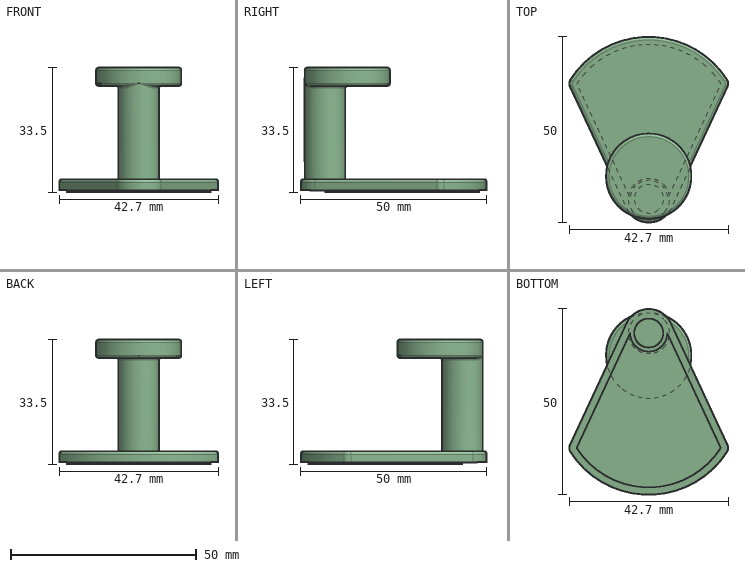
import cadquery as cq
import math


plate_length = 50.0
plate_thickness = 3.0
nose_radius = 6.5
rim_radius = 25.0
side_angle = 25.0
corner_radius = 2.0
edge_fillet = 0.8

pad_thickness = 0.5
pad_inset = 2.0
pad_clearance_radius = 5.0

cover_radius = 3.9
cover_thickness = 0.1

post_radius = 5.5
head_radius = 11.5
head_thickness = 5.0
knob_height = 30.0
neck_fillet = 0.5
margin = 0.05

rim_center_y = plate_length - nose_radius - rim_radius
head_offset = head_radius - post_radius
head_top = plate_thickness + knob_height
head_bottom = head_top - head_thickness


def fan_outline(inset, z):
    """Closed fan outline, moved inward by inset, with sharp outer corners."""
    nose = nose_radius - inset
    rim = rim_radius - inset
    angle = math.radians(side_angle)
    tangent_x = nose * math.cos(angle)
    tangent_y = -nose * math.sin(angle)
    side_to_foot = rim_center_y * math.cos(angle)
    foot_distance = nose + rim_center_y * math.sin(angle)
    side_length = side_to_foot + math.sqrt(rim**2 - foot_distance**2)
    corner_x = tangent_x + side_length * math.sin(angle)
    corner_y = tangent_y + side_length * math.cos(angle)
    return (
        cq.Workplane("XY", origin=(0, 0, z))
        .moveTo(tangent_x, tangent_y)
        .lineTo(corner_x, corner_y)
        .threePointArc((0, rim_center_y + rim), (-corner_x, corner_y))
        .lineTo(-tangent_x, tangent_y)
        .threePointArc((0, -nose), (tangent_x, tangent_y))
        .close()
    )


def make_plate():
    plate = fan_outline(0, 0).extrude(plate_thickness)
    outer_corners = plate.edges("|Z").edges(cq.selectors.BoxSelector(
        (-plate_length, rim_center_y, -plate_thickness),
        (plate_length, plate_length, 2 * plate_thickness),
    ))
    plate = outer_corners.fillet(corner_radius)
    return plate.faces(">Z").edges().fillet(edge_fillet)


def make_pad():
    pad = fan_outline(pad_inset, -pad_thickness).extrude(pad_thickness)
    clearance = (
        cq.Workplane("XY", origin=(0, 0, -pad_thickness))
        .circle(pad_clearance_radius)
        .extrude(pad_thickness)
    )
    return pad.cut(clearance)


def make_screw_cover():
    return cq.Workplane("XY").circle(cover_radius).extrude(-cover_thickness)


def fillet_half_neck(knob, side):
    """The half of the knob on one side of the YZ plane (side is -1 or 1), neck filleted."""
    half_space = (
        cq.Workplane("XY")
        .box(plate_length, 2 * plate_length, 2 * plate_length)
        .translate((side * plate_length / 2, 0, 0))
    )
    half_knob = knob.intersect(half_space)
    neck_zone = cq.selectors.BoxSelector(
        (-post_radius - margin, -post_radius - margin, head_bottom - margin),
        (post_radius + margin, post_radius + margin, head_bottom + edge_fillet + margin),
        boundingbox=True,
    )
    seam = half_knob.edges(neck_zone).filter(lambda edge: edge.BoundingBox().xlen > margin)
    return half_knob.newObject(seam.vals()).fillet(neck_fillet)


def make_knob():
    head = (
        cq.Workplane("XY", origin=(0, head_offset, head_bottom))
        .circle(head_radius)
        .extrude(head_thickness)
        .edges()
        .fillet(edge_fillet)
    )
    post = (
        cq.Workplane("XY", origin=(0, 0, plate_thickness))
        .circle(post_radius)
        .extrude(head_bottom + edge_fillet - plate_thickness)
    )
    halves = [fillet_half_neck(head.union(post), side) for side in (-1, 1)]
    return halves[0].union(halves[1]).clean()


plate = make_plate()
pad = make_pad()
screw_cover = make_screw_cover()
knob = make_knob()

bodies = [plate, pad, screw_cover, knob]
result = cq.Compound.makeCompound([body.solids().val() for body in bodies])